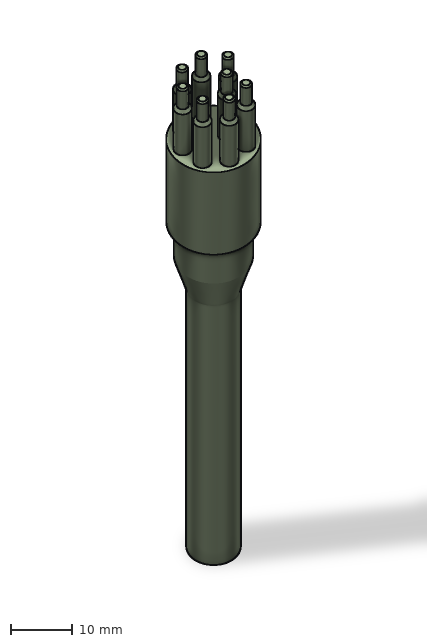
import cadquery as cq
import math

total_height = 108.5

cable_diameter = 9.0
sleeve_diameter = 13
body_diameter = 15.5
cone_height = 7.2
sleeve_height = 7.9
body_height = 19.0

pin_height = 14.5
shank_diameter = 3.0
tip_diameter = 2.0
tip_height = 4.5
shoulder_height = 0.7
tip_chamfer = 0.3

ring_pin_count = 7
ring_radius = 5.5
ring_pitch_angle = 46.6
first_pin_angle = -90 - ring_pitch_angle * (ring_pin_count - 1) / 2
inner_pin_y = 2.4

body_top = total_height - pin_height
body_bottom = body_top - body_height
sleeve_bottom = body_bottom - sleeve_height
cable_top = sleeve_bottom - cone_height


def make_housing():
    """Cable, cone, sleeve and body as one turned profile."""
    cable_radius = cable_diameter / 2
    sleeve_radius = sleeve_diameter / 2
    body_radius = body_diameter / 2
    profile = (
        cq.Workplane("XZ")
        .lineTo(cable_radius, 0)
        .lineTo(cable_radius, cable_top)
        .lineTo(sleeve_radius, sleeve_bottom)
        .lineTo(sleeve_radius, body_bottom)
        .lineTo(body_radius, body_bottom)
        .lineTo(body_radius, body_top)
        .lineTo(0, body_top)
        .close()
    )
    return profile.revolve(360, (0, 0, 0), (0, 1, 0))


def make_pin(x, y):
    """One contact pin, turned about its own axis, standing on the body's top face."""
    shank_radius = shank_diameter / 2
    tip_radius = tip_diameter / 2
    tip_bottom = pin_height - tip_height
    profile = (
        cq.Workplane("XZ", origin=(x, y, body_top))
        .lineTo(shank_radius, 0)
        .lineTo(shank_radius, tip_bottom - shoulder_height)
        .lineTo(tip_radius, tip_bottom)
        .lineTo(tip_radius, pin_height - tip_chamfer)
        .lineTo(tip_radius - tip_chamfer, pin_height)
        .lineTo(0, pin_height)
        .close()
    )
    return profile.revolve(360, (0, 0, 0), (0, 1, 0))


def pin_positions():
    """Centres of the ring pins followed by the inner pin."""
    angles = [math.radians(first_pin_angle + i * ring_pitch_angle) for i in range(ring_pin_count)]
    ring = [(ring_radius * math.cos(a), ring_radius * math.sin(a)) for a in angles]
    return ring + [(0, inner_pin_y)]


result = make_housing()
for pin_x, pin_y in pin_positions():
    result = result.union(make_pin(pin_x, pin_y))